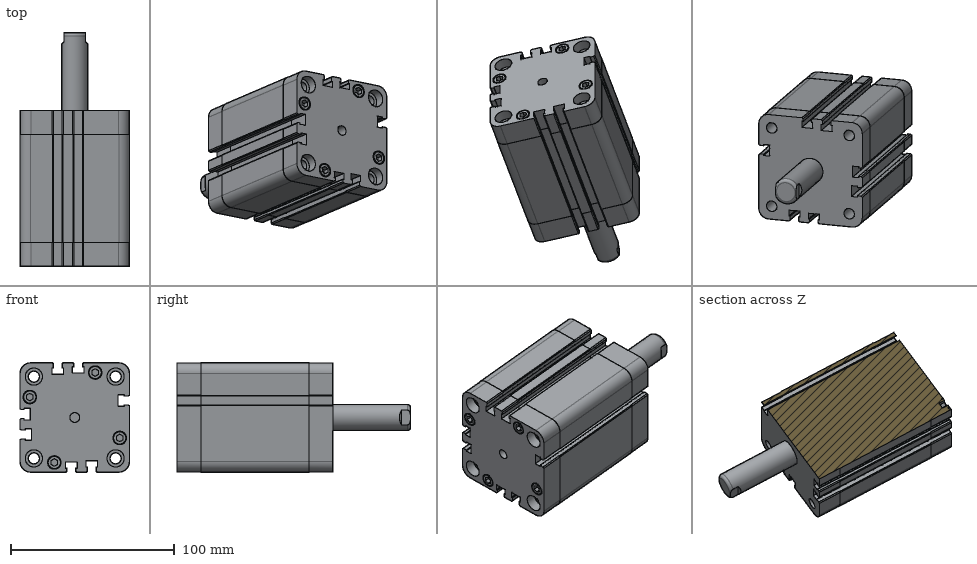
import cadquery as cq
import math

body_side = 67.0
cap_inset = 0.1
corner_radius = 6.5
housing_length = 95.5
cap_length = 14.75
body_length = housing_length - 2 * cap_length

slot_mouth_width = 5.4
slot_inner_width = 7.0
shallow_slot_center = 2.1
slot_pitch = 12.5
deep_slot_center = shallow_slot_center - slot_pitch
shallow_lip = 2.4
deep_lip = 3.2
slot_inner_height = 3.8
cap_mouth_chamfer = 0.7
body_mouth_chamfer = 0.5
top_side = 0
left_side = 90
bottom_side = 180
right_side = 270
quarter_turns = (top_side, left_side, bottom_side, right_side)
shallow_slot_sides = (top_side, left_side, bottom_side)

mount_spacing = 50.0
mount_hole_diameter = 6.65
mount_counterbore_diameter = 10.5
mount_counterbore_depth = 6.5

screw_near_offset = 12.5
screw_far_offset = 27.5
screw_positions = (
    (screw_near_offset, screw_far_offset),
    (-screw_far_offset, screw_near_offset),
    (-screw_near_offset, -screw_far_offset),
    (screw_far_offset, -screw_near_offset),
)
screw_recess_diameter = 8.25
screw_head_diameter = 7.5
screw_gap_depth = 1.0
hex_across_flats = 4.0
hex_depth = 4.0

center_hole_diameter = 6.0
center_hole_depth = 10.0

rod_diameter = 16.0
rod_length = 47.5
rod_tip_radius = 2.0
flats_width = 13.2
flats_length = 5.5

rod_tip_y = housing_length + rod_length
rod_radius = rod_diameter / 2


def section_at(y):
    """Workplane at a given Y: local x is +X, local y is +Z, normal is -Y."""
    return cq.Workplane("XZ", origin=(0, y, 0))


def turn(shape, angle):
    """Turn a shape about the Y axis, counterclockwise as seen from -Y."""
    return shape.rotate((0, 0, 0), (0, -1, 0), angle)


def slot_cutter(start, length, surface, center, lip, chamfer):
    """T-slot in the top side, open at the surface height, with a chamfered mouth."""
    mouth = slot_mouth_width / 2
    inner = slot_inner_width / 2
    shoulder = surface - lip
    floor = shoulder - slot_inner_height
    profile = [
        (center - mouth - chamfer, surface),
        (center - mouth, surface - chamfer),
        (center - mouth, shoulder),
        (center - inner, shoulder),
        (center - inner, floor),
        (center + inner, floor),
        (center + inner, shoulder),
        (center + mouth, shoulder),
        (center + mouth, surface - chamfer),
        (center + mouth + chamfer, surface),
    ]
    return section_at(start).polyline(profile).close().extrude(-length)


def housing_section(start, length, side, chamfer):
    """Rounded square block with T-slots along its sides."""
    block = section_at(start).rect(side, side).extrude(-length)
    block = block.edges("|Y").fillet(corner_radius)
    surface = side / 2
    deep_slot = slot_cutter(start, length, surface, deep_slot_center, deep_lip, chamfer)
    shallow_slot = slot_cutter(start, length, surface, shallow_slot_center, shallow_lip, chamfer)
    for angle in quarter_turns:
        block = block.cut(turn(deep_slot, angle))
    for angle in shallow_slot_sides:
        block = block.cut(turn(shallow_slot, angle))
    return block


def make_housing():
    cap_side = body_side - 2 * cap_inset
    front_cap = housing_section(0, cap_length, cap_side, cap_mouth_chamfer)
    body = housing_section(cap_length, body_length, body_side, body_mouth_chamfer)
    rear_cap = housing_section(cap_length + body_length, cap_length, cap_side, cap_mouth_chamfer)
    return front_cap.union(body).union(rear_cap)


def make_mount_holes():
    """Through holes in the corners, counterbored from the front face."""
    pattern = section_at(0).rect(mount_spacing, mount_spacing, forConstruction=True).vertices()
    holes = pattern.circle(mount_hole_diameter / 2).extrude(-housing_length)
    counterbores = pattern.circle(mount_counterbore_diameter / 2).extrude(-mount_counterbore_depth)
    return holes.union(counterbores)


def make_screw_recess(x, z):
    """Ring gap around a screw head and the hexagon socket in it, points up."""
    seat = section_at(0).center(x, z)
    ring = seat.circle(screw_recess_diameter / 2).circle(screw_head_diameter / 2).extrude(-screw_gap_depth)
    hex_across_corners = hex_across_flats / math.cos(math.pi / 6)
    socket = seat.transformed(rotate=(0, 0, 90)).polygon(6, hex_across_corners).extrude(-hex_depth)
    return ring.union(socket)


def make_rod():
    """Piston rod, rooted inside the rear cap, with a rounded tip edge."""
    rod_root_y = housing_length - cap_length
    rod = section_at(rod_root_y).circle(rod_radius).extrude(rod_root_y - rod_tip_y)
    return rod.faces(">Y").edges().fillet(rod_tip_radius)


def make_flat_cutter():
    """Removes the +X wrench flat, which runs out at 45 degrees."""
    flat_x = flats_width / 2
    flat_end_y = rod_tip_y - flats_length
    flat_depth = rod_radius - flat_x
    profile = [
        (flat_x, rod_tip_y),
        (flat_x, flat_end_y),
        (rod_radius, flat_end_y - flat_depth),
        (rod_radius, rod_tip_y),
    ]
    return cq.Workplane("XY").polyline(profile).close().extrude(rod_radius, both=True)


housing = make_housing().cut(make_mount_holes())

for screw_x, screw_z in screw_positions:
    housing = housing.cut(make_screw_recess(screw_x, screw_z))

center_hole = section_at(0).circle(center_hole_diameter / 2).extrude(-center_hole_depth)
housing = housing.cut(center_hole)

flat_cutter = make_flat_cutter()
rod = make_rod().cut(flat_cutter).cut(flat_cutter.mirror("YZ"))

result = housing.union(rod)